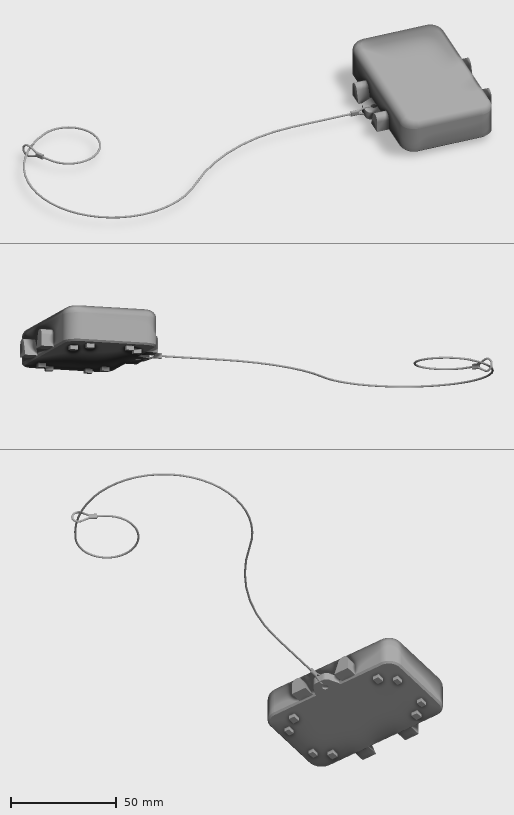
import cadquery as cq
import math

BODY_LENGTH = 75.7
BODY_WIDTH = 46.0
BODY_HEIGHT = 17.65
CORNER_RADIUS = 7.0
TOP_RADIUS = 4.0
BOTTOM_CHAMFER = 0.9

PEG_OUTER_X = 16.2
PEG_INNER_X = 8.4
PEG_BOTTOM_Z = 0.7
PEG_TOP_Z = 9.2
PEG_TOP_RADIUS = 2.8
PEG_END_Y = 29.0

TAB_HEIGHT = 2.0
LONG_SIDE_TAB_SIZE = (3.2, 3.8)
LONG_SIDE_TAB_CENTRE = (24.4, 15.8)
SHORT_SIDE_TAB_SIZE = (2.6, 3.6)
SHORT_SIDE_TAB_CENTRE = (31.4, 9.8)

LUG_BASE_HALF_WIDTH = 7.0
LUG_TIP_HALF_WIDTH = 3.8
LUG_TIP_Y = -29.4
LUG_TIP_RADIUS = 3.0
LUG_TOP_Z = 4.0
LUG_HOLE_RADIUS = 1.5
LUG_HOLE_Y = -BODY_WIDTH / 2 - LUG_HOLE_RADIUS

CORD_RADIUS = 0.5
CORD_Z = 2.3
CORD_STRAIGHT_END_Y = -65.15
BIG_ARC_RADIUS = 41.91
BIG_ARC_CENTRE = (0.0, -156.86)
NOOSE_RADIUS = 14.9
NOOSE_CENTRE_X = -23.57

LUG_LOOP_RADIUS = 2.2
LUG_LOOP_CENTRE = (0.0, -28.0)
LUG_LOOP_REACH = 6.2
NOOSE_LOOP_RADIUS = 2.95
NOOSE_LOOP_CENTRE_X = -26.4
NOOSE_LOOP_REACH = 6.8
SLEEVE_LENGTH = 3.8
SLEEVE_HEIGHT = 2.8
SLEEVE_WIDTH = 1.4


def point_on_circle(centre, radius, angle):
    return (centre[0] + radius * math.cos(angle), centre[1] + radius * math.sin(angle))


def angle_to(start, end):
    return math.atan2(end[1] - start[1], end[0] - start[0])


def make_body():
    body = cq.Workplane("XY").box(BODY_LENGTH, BODY_WIDTH, BODY_HEIGHT, centered=(True, True, False))
    body = body.edges("|Z").fillet(CORNER_RADIUS)
    body = body.faces(">Z").edges().fillet(TOP_RADIUS)
    return body.faces("<Z").edges().chamfer(BOTTOM_CHAMFER)


def make_peg_pair():
    """Pegs of both long sides at positive x, as one bar through the body."""
    arc_centre = (PEG_OUTER_X - PEG_TOP_RADIUS, PEG_TOP_Z - PEG_TOP_RADIUS)
    inner_foot = (PEG_INNER_X, PEG_BOTTOM_Z)
    foot_distance = math.dist(inner_foot, arc_centre)
    tangent_angle = angle_to(arc_centre, inner_foot) - math.acos(PEG_TOP_RADIUS / foot_distance)
    inner_tangent = point_on_circle(arc_centre, PEG_TOP_RADIUS, tangent_angle)
    return (
        cq.Workplane("XZ", origin=(0, PEG_END_Y, 0))
        .moveTo(*inner_foot)
        .lineTo(PEG_OUTER_X, PEG_BOTTOM_Z)
        .lineTo(PEG_OUTER_X, arc_centre[1])
        .threePointArc((arc_centre[0], PEG_TOP_Z), inner_tangent)
        .close()
        .extrude(2 * PEG_END_Y)
    )


def make_tabs(size, centre):
    spots = [(sx * centre[0], sy * centre[1]) for sx in (-1, 1) for sy in (-1, 1)]
    return (
        cq.Workplane("XY", origin=(0, 0, -TAB_HEIGHT))
        .pushPoints(spots)
        .rect(*size)
        .extrude(2 * TAB_HEIGHT)
    )


def make_lug():
    root_y = -BODY_WIDTH / 2
    inside_y = root_y + 2 * BOTTOM_CHAMFER
    lug = (
        cq.Workplane("XY")
        .moveTo(-LUG_BASE_HALF_WIDTH, inside_y)
        .lineTo(-LUG_BASE_HALF_WIDTH, root_y)
        .lineTo(-LUG_TIP_HALF_WIDTH, LUG_TIP_Y)
        .lineTo(LUG_TIP_HALF_WIDTH, LUG_TIP_Y)
        .lineTo(LUG_BASE_HALF_WIDTH, root_y)
        .lineTo(LUG_BASE_HALF_WIDTH, inside_y)
        .close()
        .extrude(LUG_TOP_Z)
    )
    lug = lug.edges("|Z and <Y").fillet(LUG_TIP_RADIUS)
    hole = cq.Workplane("XY").center(0, LUG_HOLE_Y).circle(LUG_HOLE_RADIUS).extrude(LUG_TOP_Z)
    return lug.cut(hole)


def make_strand(start, end):
    """Straight piece of cord between two points of the XY plane."""
    direction = (end[0] - start[0], end[1] - start[1], 0)
    start_plane = cq.Plane(origin=(*start, 0), normal=direction)
    return cq.Workplane(start_plane).circle(CORD_RADIUS).extrude(math.dist(start, end))


def make_bend(centre, radius, start_angle, end_angle):
    """Piece of cord bent round a point of the XY plane, counterclockwise between two angles."""
    bend = (
        cq.Workplane("XZ")
        .center(radius, 0)
        .circle(CORD_RADIUS)
        .revolve(math.degrees(end_angle - start_angle), (-radius, 0), (-radius, 1))
    )
    return bend.rotate((0, 0, 0), (0, 0, 1), math.degrees(start_angle)).translate((*centre, 0))


def make_end_loop(centre, radius, reach, heading):
    """Upright teardrop of cord round `centre` whose two strands meet in a crimp sleeve.

    The strands meet at distance `reach` from the centre, along the level direction `heading`.
    """
    tangent_angle = math.acos(radius / reach)
    tangent_point = point_on_circle((0, 0), radius, tangent_angle)
    upper_strand = make_strand((reach, 0), tangent_point)
    bend = make_bend((0, 0), radius, tangent_angle, 2 * math.pi - tangent_angle)
    sleeve = (
        cq.Workplane("YZ", origin=(reach - SLEEVE_LENGTH / 2, 0, 0))
        .slot2D(SLEEVE_HEIGHT, SLEEVE_WIDTH)
        .extrude(SLEEVE_LENGTH)
    )
    loop = bend.union(upper_strand).union(upper_strand.mirror("XZ")).union(sleeve)
    upright_loop = loop.rotate((0, 0, 0), (1, 0, 0), 90)
    return upright_loop.rotate((0, 0, 0), (0, 0, 1), math.degrees(heading)).translate((*centre, 0))


def make_cord():
    """Cord from the lug: straight, bend, big arc, noose arc, and back to its own big arc."""
    rise = CORD_STRAIGHT_END_Y - BIG_ARC_CENTRE[1]
    bend_radius = (rise**2 - BIG_ARC_RADIUS**2) / (2 * BIG_ARC_RADIUS)
    bend_centre = (bend_radius, CORD_STRAIGHT_END_Y)
    big_start_angle = angle_to(BIG_ARC_CENTRE, bend_centre)

    centre_distance = BIG_ARC_RADIUS - NOOSE_RADIUS
    join_angle = -math.acos(NOOSE_CENTRE_X / centre_distance)
    noose_centre = point_on_circle(BIG_ARC_CENTRE, centre_distance, join_angle)

    loop_angle = -math.acos(NOOSE_LOOP_CENTRE_X / BIG_ARC_RADIUS)
    loop_centre = point_on_circle(BIG_ARC_CENTRE, BIG_ARC_RADIUS, loop_angle)
    loop_distance = math.dist(noose_centre, loop_centre)
    leave_angle = angle_to(noose_centre, loop_centre) + math.acos(NOOSE_RADIUS / loop_distance)
    leave = point_on_circle(noose_centre, NOOSE_RADIUS, leave_angle)
    strand_heading = angle_to(loop_centre, leave)
    strand_end = point_on_circle(loop_centre, NOOSE_LOOP_REACH, strand_heading)

    lug_loop_end = (LUG_LOOP_CENTRE[0], LUG_LOOP_CENTRE[1] - LUG_LOOP_REACH)
    pieces = [
        make_strand(lug_loop_end, (lug_loop_end[0], CORD_STRAIGHT_END_Y)),
        make_bend(bend_centre, bend_radius, math.pi, math.pi + big_start_angle),
        make_bend(BIG_ARC_CENTRE, BIG_ARC_RADIUS, join_angle, big_start_angle),
        make_bend(noose_centre, NOOSE_RADIUS, leave_angle, join_angle + 2 * math.pi),
        make_strand(leave, strand_end),
        make_end_loop(loop_centre, NOOSE_LOOP_RADIUS, NOOSE_LOOP_REACH, strand_heading),
        make_end_loop(LUG_LOOP_CENTRE, LUG_LOOP_RADIUS, LUG_LOOP_REACH, -math.pi / 2),
    ]
    cord = pieces[0]
    for piece in pieces[1:]:
        cord = cord.union(piece)
    return cord.translate((0, 0, CORD_Z))


right_pegs = make_peg_pair()
result = (
    make_body()
    .union(right_pegs)
    .union(right_pegs.mirror("YZ"))
    .union(make_tabs(LONG_SIDE_TAB_SIZE, LONG_SIDE_TAB_CENTRE))
    .union(make_tabs(SHORT_SIDE_TAB_SIZE, SHORT_SIDE_TAB_CENTRE))
    .union(make_lug())
    .union(make_cord())
)